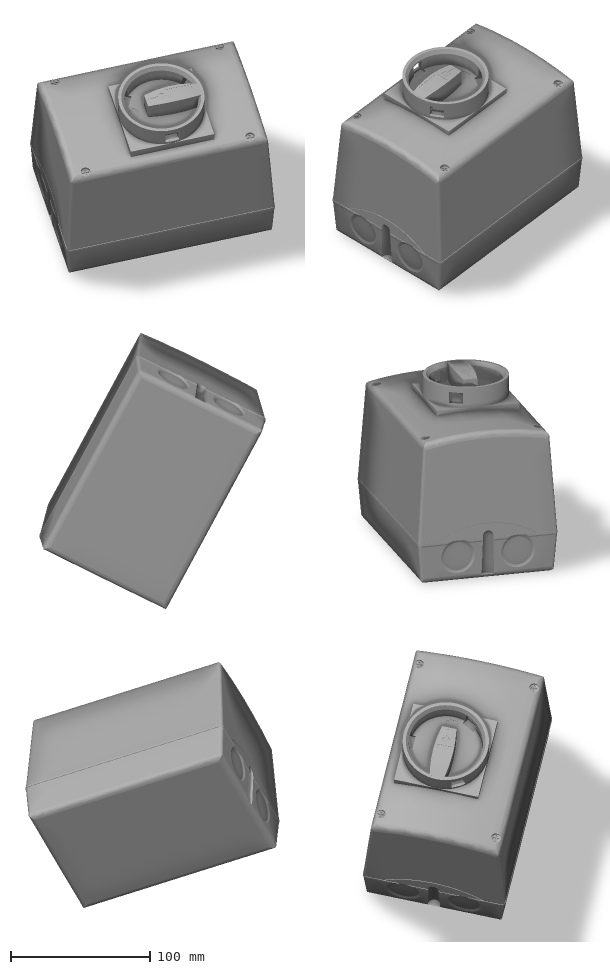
import cadquery as cq
import math

rim_size_x = 105.0
rim_size_y = 155.0
rim_bottom = 29.5
rim_top = 31.1
rim_corner = 2.8
parting_z = (rim_bottom + rim_top) / 2
rim_overhang = 0.3
parting_half_x = rim_size_x / 2 - rim_overhang
parting_half_y = rim_size_y / 2 - rim_overhang

base_half_x = 49.7
base_half_y = 75.8
wall_corner = 2.0
base_edge_round = 4.3

crown_z = 110.0
crown_radius = 224.6
shoulder_z = 100.7
shoulder_half_x = 47.4
shoulder_half_y = 73.6
cover_edge_round = 4.6

lip_bottom = 28.5
lip_half_length = 49.6
arch_half_width = 37.3
arch_top = 42.5
arch_line_width = 0.8
arch_line_depth = 0.5
knockout_radius = 12.7
knockout_floor_radius = 10.8
knockout_depth = 1.0
knockout_spacing = 45.0
knockout_z = 18.7
channel_top_radius = 3.9
channel_bottom_radius = 4.6
channel_bottom = 2.8
channel_spring = 32.5
channel_axis_y = -75.5
channel_reach = 7.7

screw_half_x = 42.5
screw_half_y = 61.2
screw_radius = 3.4
screw_head_z = 104.6
cross_length = 5.0
cross_width = 1.1
cross_depth = 0.8

switch_x = 7.6
switch_y = 4.5
plate_size = 62.0
plate_top = 112.8
collar_radius = plate_size / 2
collar_top = 127.8
collar_mouth_radius = 28.7
mouth_bevel_height = 3.0
collar_wall_radius = 26.6
floor_radius = 26.2
floor_z = 115.0
window_width = 10.2
window_top = 123.8
pocket_inner_radius = 23.4
pocket_outer_radius = 28.8
pocket_depth = 1.9

knob_top = 129.4
knob_front = -11.3
knob_back = 29.1
knob_half_end = 5.3
knob_half_middle = 7.3
knob_middle = (knob_front + knob_back) / 2
knob_crown_radius = 124.0
knob_peak = 10.0
mark_depth = 0.3
label_width = 9.9
label_front = 4.0
label_back = 23.2
dot_radius = 3.0
pointer_width = 1.4
pointer_front = -9.3
sign_width = 10.2
sign_length = 6.8
sign_corner = 2.5
sign_y = -20.1


def tapered_block(z0, half_x0, half_y0, z1, half_x1, half_y1):
    return (
        cq.Workplane("XY", origin=(0, 0, z0))
        .rect(2 * half_x0, 2 * half_y0)
        .workplane(offset=z1 - z0)
        .rect(2 * half_x1, 2 * half_y1)
        .loft(ruled=True)
    )


def round_corners(block):
    return block.edges("not(#Z or |X or |Y)").fillet(wall_corner)


def make_base():
    base = tapered_block(0, base_half_x, base_half_y, parting_z, parting_half_x, parting_half_y)
    rounded_edge = base.faces("<Z").edges().fillet(base_edge_round)
    return rounded_edge.intersect(round_corners(base))


def make_cover():
    rise = (crown_z - parting_z) / (shoulder_z - parting_z)
    top_half_x = parting_half_x + rise * (shoulder_half_x - parting_half_x)
    top_half_y = parting_half_y + rise * (shoulder_half_y - parting_half_y)
    cover = tapered_block(parting_z, parting_half_x, parting_half_y, crown_z, top_half_x, top_half_y)
    crown = (
        cq.Workplane("XZ", origin=(0, 0, crown_z - crown_radius))
        .circle(crown_radius)
        .extrude(rim_size_y, both=True)
    )
    rounded_edge = cover.intersect(crown).faces(">Z").edges().fillet(cover_edge_round)
    return rounded_edge.intersect(round_corners(cover))


def wall_y(z):
    if z < parting_z:
        return base_half_y + (parting_half_y - base_half_y) * z / parting_z
    share = (z - parting_z) / (shoulder_z - parting_z)
    return parting_half_y + (shoulder_half_y - parting_half_y) * share


def make_rim():
    return (
        cq.Workplane("XY", origin=(0, 0, rim_bottom))
        .rect(rim_size_x, rim_size_y)
        .extrude(rim_top - rim_bottom)
        .edges("|Z")
        .fillet(rim_corner)
    )


def make_end_lip():
    inner_y = -base_half_y
    lower_y = -wall_y(lip_bottom)
    return (
        cq.Workplane("YZ")
        .moveTo(inner_y, lip_bottom)
        .lineTo(lower_y, lip_bottom)
        .lineTo(-rim_size_y / 2, rim_bottom)
        .lineTo(inner_y, rim_bottom)
        .close()
        .extrude(lip_half_length, both=True)
    )


def make_arch():
    rise = arch_top - rim_top
    radius = (arch_half_width**2 + rise**2) / (2 * rise)
    ring = (
        cq.Workplane("XZ", origin=(0, 0, arch_top - radius))
        .circle(radius)
        .circle(radius - arch_line_width)
        .extrude(rim_size_y)
    )
    floor_low = arch_line_depth - wall_y(rim_top)
    floor_high = arch_line_depth - wall_y(shoulder_z)
    outside = (
        cq.Workplane("YZ")
        .moveTo(-rim_size_y, rim_top)
        .lineTo(floor_low, rim_top)
        .lineTo(floor_high, shoulder_z)
        .lineTo(-rim_size_y, shoulder_z)
        .close()
        .extrude(rim_size_x, both=True)
    )
    return ring.intersect(outside)


def make_knockout(x):
    draft = math.atan2(parting_half_y - base_half_y, parting_z)
    inward = cq.Vector(0, math.cos(draft), math.sin(draft))
    mouth = cq.Vector(x, -wall_y(knockout_z), knockout_z)
    outer_radius = 2 * knockout_radius - knockout_floor_radius
    start = mouth - inward * knockout_depth
    cone = cq.Solid.makeCone(outer_radius, knockout_floor_radius, 2 * knockout_depth, start, inward)
    return cq.Workplane(cone)


def make_channel():
    def section(plane, radius):
        return (
            plane.moveTo(-radius, -channel_reach)
            .lineTo(-radius, 0)
            .threePointArc((0, radius), (radius, 0))
            .lineTo(radius, -channel_reach)
            .close()
        )

    foot = section(cq.Workplane("XY", origin=(0, channel_axis_y, channel_bottom)), channel_bottom_radius)
    spring = foot.workplane(offset=channel_spring - channel_bottom)
    shaft = section(spring, channel_top_radius).loft(ruled=True)
    dome = cq.Workplane("XY", origin=(0, channel_axis_y, channel_spring)).sphere(channel_top_radius)
    barrel = (
        cq.Workplane("XZ", origin=(0, channel_axis_y, channel_spring))
        .circle(channel_top_radius)
        .extrude(channel_reach)
    )
    return shaft.union(dome).union(barrel)


def make_end_cuts():
    cuts = make_arch().union(make_channel())
    for side in (-1, 1):
        cuts = cuts.union(make_knockout(side * knockout_spacing / 2))
    return cuts


def make_screws():
    corners = (
        cq.Workplane("XY", origin=(0, 0, screw_head_z))
        .rect(2 * screw_half_x, 2 * screw_half_y, forConstruction=True)
        .vertices()
    )
    pockets = corners.circle(screw_radius).extrude(crown_z - screw_head_z)
    along = corners.rect(cross_length, cross_width).extrude(-cross_depth)
    across = corners.rect(cross_width, cross_length).extrude(-cross_depth)
    return pockets.union(along).union(across)


def switch_plane(z):
    return cq.Workplane("XY", origin=(switch_x, switch_y, z))


def make_collar():
    body = switch_plane(shoulder_z).rect(plate_size, plate_size).extrude(plate_top - shoulder_z)
    body = body.union(switch_plane(plate_top).circle(collar_radius).extrude(collar_top - plate_top))
    cup = (
        cq.Workplane("XZ", origin=(switch_x, switch_y, 0))
        .polyline([
            (0, floor_z), (floor_radius, floor_z), (collar_wall_radius, collar_top - mouth_bevel_height),
            (collar_mouth_radius, collar_top), (0, collar_top),
        ])
        .close()
        .revolve(360, (0, 0, 0), (0, 1, 0))
    )
    body = body.cut(cup)
    for angle in (0, 120, 240):
        body = body.cut(make_window().rotate((switch_x, switch_y, 0), (switch_x, switch_y, 1), angle))
    sign = switch_plane(floor_z - mark_depth).center(0, sign_y).rect(sign_width, sign_length).extrude(mark_depth)
    return body.cut(sign.edges("|Z").chamfer(sign_corner))


def make_window():
    opening = (
        switch_plane(floor_z)
        .center((pocket_inner_radius + plate_size / 2) / 2, 0)
        .rect(plate_size / 2 - pocket_inner_radius, window_width)
        .extrude(window_top - floor_z)
    )
    pocket = (
        switch_plane(floor_z)
        .center((pocket_inner_radius + pocket_outer_radius) / 2, 0)
        .rect(pocket_outer_radius - pocket_inner_radius, window_width)
        .extrude(-pocket_depth)
    )
    return opening.union(pocket)


def knob_arch(radius):
    return (
        cq.Workplane("YZ", origin=(switch_x, switch_y + knob_peak, knob_top - knob_crown_radius))
        .circle(radius)
        .extrude(plate_size, both=True)
    )


def make_knob():
    grip = (
        switch_plane(floor_z)
        .moveTo(-knob_half_end, knob_front)
        .threePointArc((-knob_half_middle, knob_middle), (-knob_half_end, knob_back))
        .lineTo(knob_half_end, knob_back)
        .threePointArc((knob_half_middle, knob_middle), (knob_half_end, knob_front))
        .close()
        .extrude(knob_top - floor_z)
    )
    top_arch = knob_arch(knob_crown_radius)
    deep_arch = knob_arch(knob_crown_radius - mark_depth)
    mark_height = knob_top - floor_z
    label = (
        switch_plane(floor_z)
        .center(0, (label_front + label_back) / 2)
        .rect(label_width, label_back - label_front)
        .extrude(mark_height)
    )
    dot = switch_plane(floor_z).circle(dot_radius).extrude(mark_height)
    pointer = (
        switch_plane(floor_z)
        .center(0, pointer_front / 2)
        .rect(pointer_width, -pointer_front)
        .extrude(mark_height)
    )
    marks = label.union(dot).union(pointer).cut(deep_arch)
    return grip.intersect(top_arch).cut(marks)


end_lip = make_end_lip()
end_cuts = make_end_cuts()
box = make_base().union(make_cover()).union(make_rim())
box = box.union(end_lip).union(end_lip.mirror("XZ"))
box = box.cut(end_cuts).cut(end_cuts.mirror("XZ")).cut(make_screws())
result = box.union(make_collar()).union(make_knob())